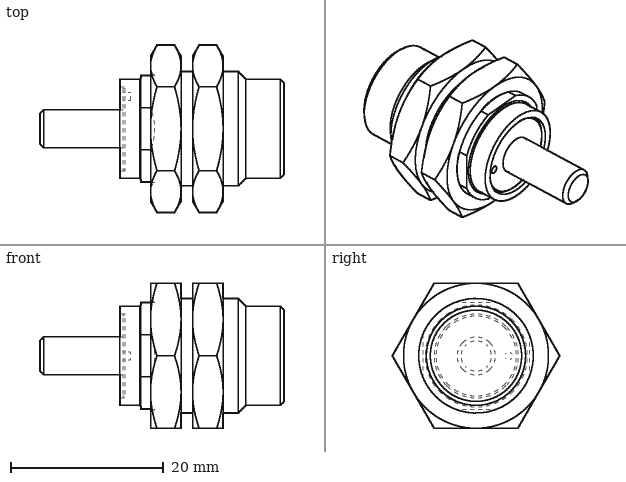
import cadquery as cq
import math

total_length = 32.0
collar_start = 10.5
collar_end = 13.1
flange_start = 13.25
first_nut_start = 14.5
second_nut_start = 20.0
body_end = 26.0

end_chamfer = 0.5

rod_diameter = 5.0

neck_diameter = 13.0
body_diameter = 15.0
flare_height = 0.2
flats_width = 14.0

recess_diameter = 11.0
recess_depth = 0.4
plug_chamfer = 0.25
vent_diameter = 1.0
vent_offset = 4.25
vent_depth = 1.0

nut_width = 19.0
nut_thickness = 4.0
nut_chamfer_angle = math.radians(30)


def turned(profile):
    """Revolve (x, radius) points about the X axis."""
    return cq.Workplane("XY").polyline(profile).close().revolve(360, (0, 0, 0), (1, 0, 0))


def cylinder(start, end, diameter):
    return cq.Workplane("YZ", origin=(start, 0, 0)).circle(diameter / 2).extrude(end - start)


def make_rod():
    rod = cylinder(0, collar_end, rod_diameter)
    return rod.faces("<X").chamfer(end_chamfer)


def make_body():
    neck_radius = neck_diameter / 2
    body_radius = body_diameter / 2
    body = turned([
        (collar_start, 0),
        (collar_start, neck_radius),
        (collar_end, neck_radius),
        (flange_start, neck_radius + flare_height),
        (flange_start, body_radius),
        (body_end, body_radius),
        (body_end + body_radius - neck_radius, neck_radius),
        (total_length - end_chamfer, neck_radius),
        (total_length, neck_radius - end_chamfer),
        (total_length, 0),
    ])
    flats_end = first_nut_start + (body_diameter - flats_width) / 2
    flats_length = flats_end - flange_start
    flats_center = (flange_start + flats_end) / 2
    ring = cylinder(flange_start, flats_end, body_diameter)
    square = cq.Workplane("XY").box(flats_length, flats_width, flats_width)
    return body.cut(ring.cut(square.translate((flats_center, 0, 0))))


def make_recess():
    recess_radius = recess_diameter / 2
    floor = collar_start + recess_depth
    return turned([
        (collar_start, 0),
        (collar_start, recess_radius),
        (floor + plug_chamfer, recess_radius),
        (floor, recess_radius - plug_chamfer),
        (floor, 0),
    ])


def make_vent():
    floor = collar_start + recess_depth
    return cylinder(floor, floor + vent_depth, vent_diameter).translate((0, vent_offset, 0))


def make_nut(start):
    """Hex nut with flats facing +Z and -Z, chamfered corners and a countersunk bore."""
    end = start + nut_thickness
    corner_radius = nut_width / 2 / math.cos(math.pi / 6)
    corner_chamfer = (corner_radius - nut_width / 2) * math.tan(nut_chamfer_angle)
    hexagon = cq.Workplane("YZ", origin=(start, 0, 0)).polygon(6, 2 * corner_radius).extrude(nut_thickness)
    envelope = turned([
        (start, 0),
        (start, nut_width / 2),
        (start + corner_chamfer, corner_radius),
        (end - corner_chamfer, corner_radius),
        (end, nut_width / 2),
        (end, 0),
    ])
    countersink = (body_diameter - flats_width) / 2
    bore = turned([
        (start, 0),
        (start, body_diameter / 2),
        (start + countersink, flats_width / 2),
        (end, flats_width / 2),
        (end, 0),
    ])
    return hexagon.intersect(envelope).cut(bore)


result = make_body().cut(make_recess()).cut(make_vent()).union(make_rod())
for nut_start in (first_nut_start, second_nut_start):
    result = result.union(make_nut(nut_start))